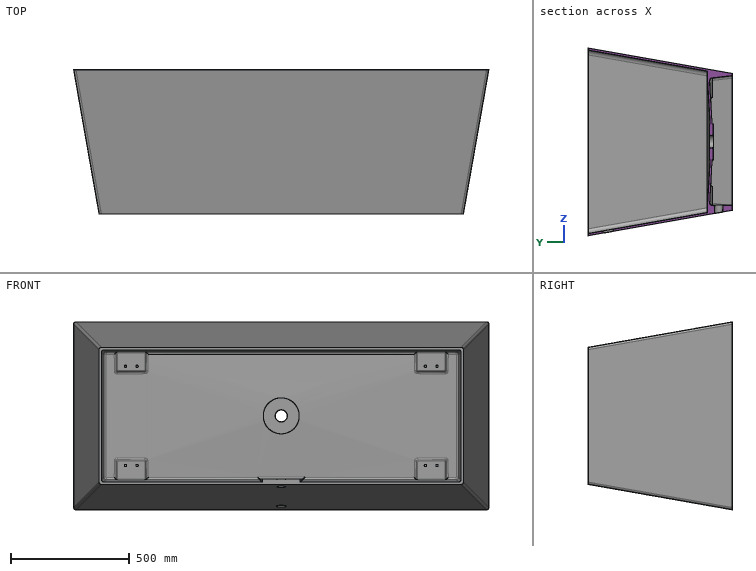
import math

import cadquery as cq


rim_length = 1754.17
rim_width = 794.17
height = 610.0
wall_draft = 10.0
corner_radius = 10.0
rim_y = height / 2
base_y = -height / 2
draft_slope = math.tan(math.radians(wall_draft))
base_length = rim_length - 2 * height * draft_slope
base_width = rim_width - 2 * height * draft_slope

selection_slack = 0.1

base_lip = 10.5
recess_depth = 97.0
recess_draft = 6.5
recess_corner_radius = 10.0
root_radius = 9.0
root_band = 5.0
recess_floor_y = base_y + recess_depth
recess_length = base_length - 2 * base_lip
recess_width = base_width - 2 * base_lip

floor_fall = 13.0
bulge_steps = 8
bulge_fit = 0.01
bulge_min_degree = 2
bulge_max_degree = 4

shell_thickness = 10.0
basin_corner_radius = 20.0
basin_floor_y = recess_floor_y + shell_thickness
basin_depth = rim_y - basin_floor_y
basin_length = rim_length - 2 * shell_thickness
basin_width = rim_width - 2 * shell_thickness

drain_seat_diameter = 152.0
drain_seat_height = 16.0
drain_diameter = 50.0

pad_center_x = 633.5
pad_top_length = 119.0
pad_top_edge_z = 189.0
pad_draft = 30.0
pad_height = 13.0
pad_corner_radius = 7.0
pad_edge_radius = 4.0
pad_top_y = recess_floor_y - pad_height
screw_diameter = 10.0
screw_depth = 12.0
screw_spacing = 49.0
screw_z = 209.5

boss_face_length = 160.0
boss_root_length = 186.0
boss_top_z = -267.0
boss_bottom_z = -(recess_width + base_lip) / 2
pipe_hole_diameter = 34.0
pipe_hole_y = -247.0

overflow_diameter = 42.0
overflow_y = 220.0
overflow_top_z = -base_width / 2


def section_at(y):
    """Sketch plane square to Y at the given height, drawing toward -Y."""
    return cq.Workplane("XZ", origin=(0, y, 0))


def level_band(low_y, high_y):
    """Selector for what lies wholly between two heights."""
    low = (-rim_length, low_y - selection_slack, -rim_width)
    high = (rim_length, high_y + selection_slack, rim_width)
    return cq.selectors.BoxSelector(low, high, boundingbox=True)


def make_body():
    body = section_at(rim_y).rect(rim_length, rim_width).extrude(height, taper=wall_draft)
    return body.edges("not (|X or |Z)").fillet(corner_radius)


def make_bulge(y, length, width):
    """Smooth mound toward -Y on a rectangle, flat on its base and highest in the middle."""
    grid = []
    for i in range(bulge_steps + 1):
        u = 2 * i / bulge_steps - 1
        row = []
        for j in range(bulge_steps + 1):
            v = 2 * j / bulge_steps - 1
            rise = floor_fall * (1 - u**2) * (1 - v**2)
            row.append(cq.Vector(u * length / 2, y - rise, v * width / 2))
        grid.append(row)
    top = cq.Face.makeSplineApprox(grid, tol=bulge_fit, minDeg=bulge_min_degree, maxDeg=bulge_max_degree)
    base = cq.Face.makeFromWires(cq.Wire.assembleEdges(top.Edges()))
    return cq.Workplane(cq.Solid.makeSolid(cq.Shell.makeShell([top, base])))


def make_pad(side_x, side_z):
    """Drafted foot pad that runs outward past the recess wall."""
    root_growth = pad_height * math.tan(math.radians(pad_draft))
    outer_z = recess_width / 2
    root_length = pad_top_length + 2 * root_growth
    root_width = outer_z - pad_top_edge_z + 2 * root_growth
    pad = (
        section_at(recess_floor_y)
        .center(side_x * pad_center_x, side_z * (pad_top_edge_z + outer_z) / 2)
        .rect(root_length, root_width)
        .extrude(pad_height, taper=pad_draft)
    )
    return pad.edges("not (|X or |Z)").fillet(pad_corner_radius)


def make_recess():
    """Hollow of the recess, with the floor panel, foot pads and drain boss left standing in it."""
    recess = section_at(base_y).rect(recess_length, recess_width).extrude(-recess_depth, taper=recess_draft)
    recess = recess.edges("not (|X or |Z)").fillet(recess_corner_radius)
    recess = recess.cut(make_bulge(recess_floor_y, recess_length, recess_width))
    for side_x in (-1, 1):
        for side_z in (-1, 1):
            recess = recess.cut(make_pad(side_x, side_z))
    recess = recess.cut(make_boss())
    recess = recess.edges(level_band(recess_floor_y - root_band, recess_floor_y)).fillet(root_radius)
    return recess.edges(level_band(pad_top_y, pad_top_y)).fillet(pad_edge_radius)


def make_basin():
    basin = section_at(rim_y).rect(basin_length, basin_width).extrude(basin_depth, taper=wall_draft)
    basin = basin.edges("not (|X or |Z)").fillet(basin_corner_radius)
    floor_length = basin_length - 2 * basin_depth * draft_slope
    floor_width = basin_width - 2 * basin_depth * draft_slope
    bulge_margin = 2 * basin_corner_radius
    return basin.union(make_bulge(basin_floor_y, floor_length - bulge_margin, floor_width - bulge_margin))


def make_drain_seat():
    return section_at(recess_floor_y).circle(drain_seat_diameter / 2).extrude(drain_seat_height)


def make_drain_hole():
    """Drain cutter that ends in the open basin."""
    return section_at(base_y).circle(drain_diameter / 2).extrude(-height / 2)


def make_screw_holes(side_x, side_z):
    offsets = (-screw_spacing / 2, screw_spacing / 2)
    spots = [(side_x * pad_center_x + offset, side_z * screw_z) for offset in offsets]
    return section_at(pad_top_y).pushPoints(spots).circle(screw_diameter / 2).extrude(-screw_depth)


def make_boss():
    """Block against the lower wall of the recess that widens toward the floor panel."""
    outline = [
        (-boss_face_length / 2, base_y),
        (boss_face_length / 2, base_y),
        (boss_root_length / 2, recess_floor_y),
        (-boss_root_length / 2, recess_floor_y),
    ]
    plane = cq.Workplane("XY", origin=(0, 0, boss_bottom_z))
    return plane.polyline(outline).close().extrude(boss_top_z - boss_bottom_z)


def make_wall_hole(y, diameter, top_z):
    """Vertical hole from below through the lower wall, up to the given level."""
    plane = cq.Workplane("XY", origin=(0, y, -rim_width / 2))
    return plane.circle(diameter / 2).extrude(top_z + rim_width / 2)


result = make_body().cut(make_recess()).cut(make_basin())
result = result.union(make_drain_seat())
result = result.cut(make_drain_hole())
for side_x in (-1, 1):
    for side_z in (-1, 1):
        result = result.cut(make_screw_holes(side_x, side_z))
result = result.cut(make_wall_hole(pipe_hole_y, pipe_hole_diameter, boss_top_z))
result = result.cut(make_wall_hole(overflow_y, overflow_diameter, overflow_top_z))